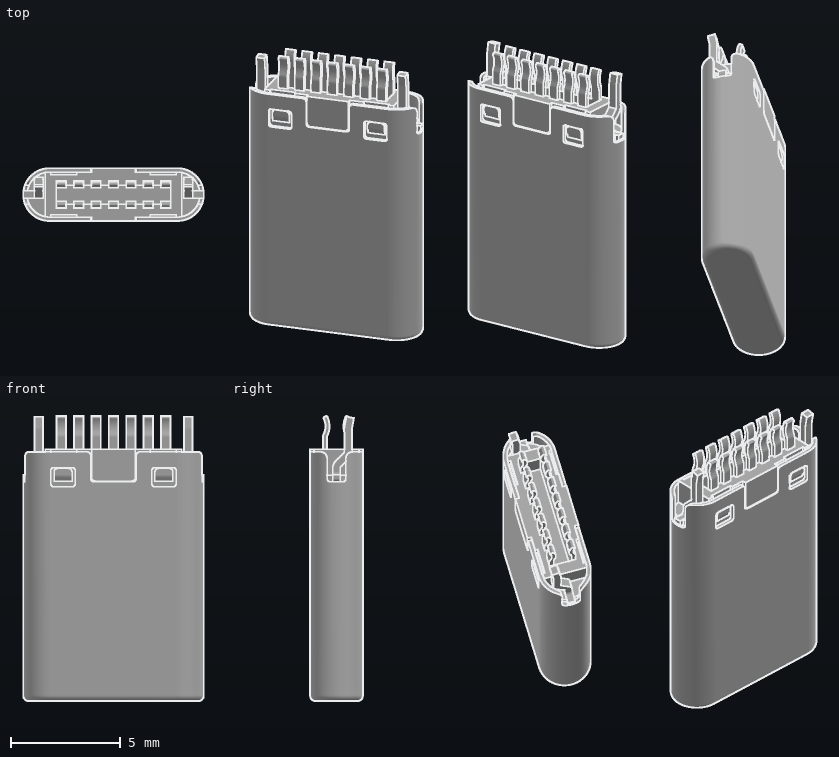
import cadquery as cq
import math

SHELL_WIDTH = 8.25
SHELL_DEPTH = 2.42
SHELL_TOP = 11.37
SHELL_WALL = 0.18
BOTTOM_ROUND = 0.26
CAVITY_FLOOR = 10.3

SLOT_BOTTOM = 10.0
FACE_SLOT_WIDTH = 2.08
FACE_SLOT_MOUTH_ROUND = 0.15
END_SLOT_WIDTH = 0.86
END_SLOT_MOUTH_ROUND = 0.29
SLOT_CORNER_ROUND = 0.15
WINDOW_WIDTH = 1.1
WINDOW_BOTTOM = 9.78
WINDOW_TOP = 10.65
WINDOW_X = 2.3
WINDOW_ROUND = 0.13

BLOCK_WIDTH = 6.25
BLOCK_TOP = 11.5
TAB_WIDTH = 2.0
TAB_GAP = 0.04
LATCH_WIDTH = 0.82
LATCH_TOP = 10.62
LATCH_SLOPE_TOP = 10.26
LATCH_BOTTOM = 10.03
LATCH_HEIGHT = 0.12
LATCH_ROUND = 0.15
LATCH_CREST_ROUND = 0.26
NOTCH_X = 2.26
NOTCH_WIDTH = 1.2
NOTCH_DEPTH = 0.12
NOTCH_HEIGHT = 0.39
POCKET_HALF_DEPTH = 0.43
POCKET_HEIGHT = 1.3

CONTACTS_PER_ROW = 7
CONTACT_PITCH = 0.8
CONTACT_WIDTH = 0.44
CONTACT_THICKNESS = 0.2
CONTACT_TIP = 13.01
TIP_INNER_RADIUS = 0.78
TIP_CENTER_Y = 1.29
TIP_CENTER_Z = 12.54
TIP_EDGE_ROUND = 0.05
CONTACT_BEND_ROUND = 0.33

PIN_X = 3.41
PIN_WIDTH = 0.4
PIN_DEPTH = 0.35
PIN_TOP_Y = 0.53
PIN_JOG_BOTTOM = 10.75
PIN_LEAN_START = 12.42
PIN_LEAN_ANGLE = 10.0
PIN_LEAN_LENGTH = 0.53
PIN_BEND_ROUND = 0.52
PIN_LEAN_ROUND = 0.45
FOOT_BOTTOM = 10.02
FOOT_TIP_X = SHELL_WIDTH / 2
FOOT_RISE = 0.03
FOOT_TOP = CAVITY_FLOOR + FOOT_RISE
FOOT_ROUND = 0.13

HALF_DEPTH = SHELL_DEPTH / 2
INNER_HALF_DEPTH = HALF_DEPTH - SHELL_WALL
INNER_WIDTH = SHELL_WIDTH - 2 * SHELL_WALL
INNER_DEPTH = 2 * INNER_HALF_DEPTH
POCKET_WIDTH = (CONTACTS_PER_ROW - 1) * CONTACT_PITCH + CONTACT_WIDTH
POCKET_FLOOR = BLOCK_TOP - POCKET_HEIGHT
OVERLAP = 0.07
CUT_MARGIN = 0.13


def box(width, depth, bottom, top, x=0, y=0):
    """Upright box centred on (x, y) between two heights."""
    return cq.Workplane("XY", origin=(x, y, bottom)).rect(width, depth).extrude(top - bottom)


def stadium(width, depth, bottom, top):
    """Prism with flat faces and fully rounded ends."""
    return cq.Workplane("XY", origin=(0, 0, bottom)).slot2D(width, depth).extrude(top - bottom)


def mirrored_in_x(solid):
    return solid.union(solid.mirror("YZ"))


def mirrored_in_y(solid):
    return solid.union(solid.mirror("XZ"))


def round_cross_edge(solid, point, radius):
    """Round the edge along X whose middle is nearest to the point."""
    return solid.edges("|X").edges(cq.selectors.NearestToPointSelector(point)).fillet(radius)


def slot_cutter(plane, width, mouth_round):
    """Slot open at the shell top, with rounded floor corners and a flared mouth."""
    across = "|Y" if plane == "XZ" else "|X"
    half = width / 2
    flare = half + mouth_round
    reach = SHELL_WIDTH / 2 + CUT_MARGIN
    outline = (
        cq.Workplane(plane)
        .moveTo(-flare, SHELL_TOP)
        .radiusArc((-half, SHELL_TOP - mouth_round), mouth_round)
        .lineTo(-half, SLOT_BOTTOM)
        .lineTo(half, SLOT_BOTTOM)
        .lineTo(half, SHELL_TOP - mouth_round)
        .radiusArc((flare, SHELL_TOP), mouth_round)
        .close()
    )
    slot = outline.extrude(reach, both=True)
    return slot.faces("<Z").edges(across).fillet(SLOT_CORNER_ROUND)


def make_shell():
    outer = stadium(SHELL_WIDTH, SHELL_DEPTH, 0, SHELL_TOP).faces("<Z").edges().fillet(BOTTOM_ROUND)
    bore = stadium(INNER_WIDTH, INNER_DEPTH, CAVITY_FLOOR, SHELL_TOP)
    core = stadium(INNER_WIDTH, INNER_DEPTH, WINDOW_BOTTOM - SHELL_WALL, CAVITY_FLOOR)
    window_cut = box(WINDOW_WIDTH, SHELL_DEPTH + 2 * CUT_MARGIN, WINDOW_BOTTOM, WINDOW_TOP, WINDOW_X)
    window_cut = window_cut.edges("|Y").fillet(WINDOW_ROUND)
    shell = (
        outer.cut(bore)
        .cut(slot_cutter("XZ", FACE_SLOT_WIDTH, FACE_SLOT_MOUTH_ROUND))
        .cut(slot_cutter("YZ", END_SLOT_WIDTH, END_SLOT_MOUTH_ROUND))
        .cut(mirrored_in_x(window_cut))
    )
    return shell.union(core)


def make_latch():
    """Wedge on the -Y face of the block that fills most of the +X window."""
    root = -INNER_HALF_DEPTH
    profile = [
        (root + OVERLAP, LATCH_TOP),
        (root - LATCH_HEIGHT, LATCH_TOP),
        (root - LATCH_HEIGHT, LATCH_SLOPE_TOP),
        (root, LATCH_BOTTOM),
        (root + OVERLAP, LATCH_BOTTOM),
    ]
    start = WINDOW_X - LATCH_WIDTH / 2
    latch = cq.Workplane("YZ", origin=(start, 0, 0)).polyline(profile).close().extrude(LATCH_WIDTH)
    latch = latch.faces(">Z").edges("|Y").fillet(LATCH_ROUND)
    crest = (WINDOW_X, root - LATCH_HEIGHT, LATCH_SLOPE_TOP)
    return round_cross_edge(latch, crest, LATCH_CREST_ROUND)


def make_insulator():
    envelope = stadium(INNER_WIDTH, INNER_DEPTH, CAVITY_FLOOR - OVERLAP, BLOCK_TOP)
    block = envelope.intersect(box(BLOCK_WIDTH, INNER_DEPTH, 0, BLOCK_TOP))
    tabs = box(TAB_WIDTH, SHELL_DEPTH, SLOT_BOTTOM + TAB_GAP, BLOCK_TOP)
    tabs = tabs.edges("|Y and <Z").fillet(SLOT_CORNER_ROUND)
    notch = box(NOTCH_WIDTH, 2 * NOTCH_DEPTH, BLOCK_TOP - NOTCH_HEIGHT, BLOCK_TOP, NOTCH_X, -INNER_HALF_DEPTH)
    latches = mirrored_in_y(mirrored_in_x(make_latch()))
    notches = mirrored_in_y(mirrored_in_x(notch))
    return block.union(tabs).union(latches).cut(notches)


def make_contact(x):
    """Contact of the +Y row: straight stem in the pocket wall, tip bowed towards the middle."""
    outer_radius = TIP_INNER_RADIUS + CONTACT_THICKNESS
    round_center_radius = outer_radius - TIP_EDGE_ROUND
    end_angle = (
        math.asin((CONTACT_TIP - TIP_EDGE_ROUND - TIP_CENTER_Z) / round_center_radius)
        + math.asin(TIP_EDGE_ROUND / round_center_radius)
    )

    def tip_point(radius, angle):
        return (TIP_CENTER_Y - radius * math.cos(angle), TIP_CENTER_Z + radius * math.sin(angle))

    inner_y = POCKET_HALF_DEPTH
    outer_y = inner_y + CONTACT_THICKNESS
    inner_start = -math.acos((TIP_CENTER_Y - inner_y) / outer_radius)
    outer_start = -math.acos((TIP_CENTER_Y - outer_y) / TIP_INNER_RADIUS)
    bend_points = [tip_point(outer_radius, inner_start), tip_point(TIP_INNER_RADIUS, outer_start)]
    end_points = [tip_point(outer_radius, end_angle), tip_point(TIP_INNER_RADIUS, end_angle)]
    contact = (
        cq.Workplane("YZ", origin=(x - CONTACT_WIDTH / 2, 0, 0))
        .moveTo(inner_y, POCKET_FLOOR)
        .lineTo(*bend_points[0])
        .threePointArc(tip_point(outer_radius, 0), end_points[0])
        .lineTo(*end_points[1])
        .threePointArc(tip_point(TIP_INNER_RADIUS, 0), bend_points[1])
        .lineTo(outer_y, POCKET_FLOOR)
        .close()
        .extrude(CONTACT_WIDTH)
    )
    for bend in bend_points:
        contact = round_cross_edge(contact, (x, *bend), CONTACT_BEND_ROUND)
    for end in end_points:
        contact = round_cross_edge(contact, (x, *end), TIP_EDGE_ROUND)
    return contact


def make_pin():
    """Pin at the +X end: 45 degree jog, leaning top and a foot bent outwards."""
    jog_top = PIN_JOG_BOTTOM + PIN_TOP_Y
    lean = math.radians(PIN_LEAN_ANGLE)
    tip_y = PIN_TOP_Y + PIN_LEAN_LENGTH * math.sin(lean)
    tip_z = PIN_LEAN_START + PIN_LEAN_LENGTH * math.cos(lean)
    path = cq.Workplane("YZ", origin=(PIN_X, 0, 0)).polyline([
        (0, FOOT_BOTTOM),
        (0, PIN_JOG_BOTTOM),
        (PIN_TOP_Y, jog_top),
        (PIN_TOP_Y, PIN_LEAN_START),
        (tip_y, tip_z),
    ])
    section = cq.Workplane("XY", origin=(PIN_X, 0, FOOT_BOTTOM)).rect(PIN_WIDTH, PIN_DEPTH)
    stem = section.sweep(path, transition="right")
    outer_bend = (PIN_X, -PIN_DEPTH / 2, PIN_JOG_BOTTOM)
    stem = round_cross_edge(stem, outer_bend, PIN_BEND_ROUND)
    for side_y in (PIN_TOP_Y - PIN_DEPTH / 2, PIN_TOP_Y + PIN_DEPTH / 2):
        stem = round_cross_edge(stem, (PIN_X, side_y, PIN_LEAN_START), PIN_LEAN_ROUND)

    stem_face = PIN_X + PIN_WIDTH / 2
    foot = (
        cq.Workplane("XZ", origin=(0, PIN_DEPTH / 2, 0))
        .moveTo(PIN_X, FOOT_BOTTOM)
        .lineTo(FOOT_TIP_X - FOOT_ROUND, FOOT_BOTTOM)
        .radiusArc((FOOT_TIP_X, FOOT_BOTTOM + FOOT_ROUND), -FOOT_ROUND)
        .lineTo(FOOT_TIP_X, FOOT_TOP)
        .lineTo(stem_face + FOOT_ROUND, FOOT_TOP)
        .radiusArc((stem_face, FOOT_TOP + FOOT_ROUND), FOOT_ROUND)
        .lineTo(PIN_X, FOOT_TOP + FOOT_ROUND)
        .close()
        .extrude(PIN_DEPTH)
    )
    return stem.union(foot)


rear_pocket = box(POCKET_WIDTH, 2 * POCKET_HALF_DEPTH, POCKET_FLOOR, BLOCK_TOP)
result = make_shell().union(make_insulator()).cut(rear_pocket)
for index in range(CONTACTS_PER_ROW):
    contact_x = (index - (CONTACTS_PER_ROW - 1) / 2) * CONTACT_PITCH
    result = result.union(mirrored_in_y(make_contact(contact_x)))
result = result.union(mirrored_in_x(make_pin()))